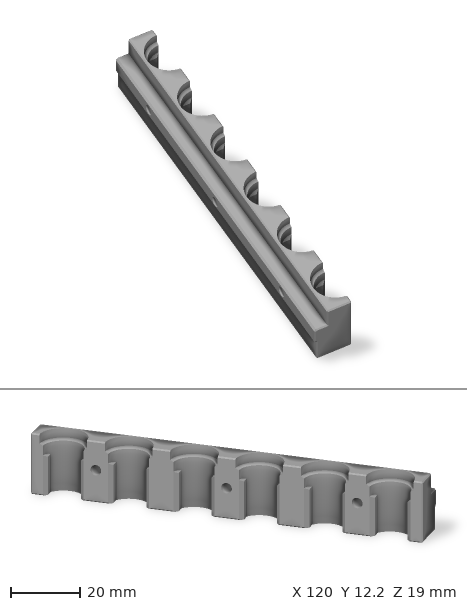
import cadquery as cq
import math

length = 120.0
height = 19.0
top_depth = 8.0
base_depth = 11.5
band_depth = 12.2
band_top = 12.8
band_bottom = 7.1
band_projection = band_depth - base_depth
band_chamfer = 0.6
edge_chamfer = 0.4

cradle_count = 6
cradle_pitch = length / cradle_count
seat_radius = 14.5 / 2
seat_depth = 2.9
bore_radius = 12.5 / 2
gap_half_width = 10.1 / 2
lip_setback = 3.0
seat_slope = math.radians(30)

hole_diameter = 3.2
hole_spacing = 2 * cradle_pitch
end_hole_z = 10.0
middle_hole_z = 9.5

slope_rate = math.tan(seat_slope)
seat_floor = height - seat_depth
bore_top = seat_floor - (seat_radius - bore_radius) * slope_rate
lip_reach = bore_radius - gap_half_width
lip_top = bore_top - lip_setback
lip_tip_z = lip_top - lip_reach * slope_rate


def make_body():
    """Stepped bar with chamfered outer edges and a sloped underside on the band."""
    outline = [
        (0, 0),
        (-base_depth, 0),
        (-base_depth, band_bottom),
        (-band_depth, band_bottom + band_projection),
        (-band_depth, band_top - band_chamfer),
        (-band_depth + band_chamfer, band_top),
        (-top_depth, band_top),
        (-top_depth, height),
        (0, height),
    ]
    bar = cq.Workplane("YZ").polyline(outline).close().extrude(length / 2, both=True)
    plain_corners = outline[2:-2]
    tolerance = 0.01

    def is_chamfered(edge):
        center = edge.Center()
        return all(math.dist((center.y, center.z), corner) > tolerance for corner in plain_corners)

    long_edges = [edge for edge in bar.edges("|X").vals() if is_chamfered(edge)]
    end_edges = bar.faces("<X or >X").edges().vals()
    return bar.newObject(long_edges + end_edges).chamfer(edge_chamfer)


def make_seat():
    """Wide seat with a conical floor sloping in to the bore."""
    return (
        cq.Workplane("XZ")
        .moveTo(0, 0)
        .lineTo(bore_radius, 0)
        .lineTo(bore_radius, bore_top)
        .lineTo(seat_radius, seat_floor)
        .lineTo(seat_radius, height)
        .lineTo(0, height)
        .close()
        .revolve(360, (0, 0), (0, 1))
    )


def make_lip(side):
    """Lip that narrows the open side: sloped on top, cut back at the mouth corner."""
    tip_x = side * gap_half_width
    wall_x = side * bore_radius
    profile = [(tip_x, 0), (wall_x, 0), (wall_x, lip_top), (tip_x, lip_tip_z)]
    corner = [(tip_x, 0), (wall_x, 0), (tip_x, -lip_reach)]
    lip = cq.Workplane("XZ").polyline(profile).close().extrude(bore_radius)
    corner_cut = cq.Workplane("XY").polyline(corner).close().extrude(height)
    bore = cq.Workplane("XY").circle(bore_radius).extrude(height)
    return lip.intersect(bore).cut(corner_cut)


def make_cradle():
    """Cutting shape of one cradle, open towards +Y."""
    return make_seat().cut(make_lip(-1)).cut(make_lip(1))


def make_hole(x, z):
    """Cutting cylinder through the full thickness of the rail."""
    return (
        cq.Workplane("XZ")
        .center(x, z)
        .circle(hole_diameter / 2)
        .extrude(band_depth)
    )


result = make_body()

cradle = make_cradle()
for index in range(cradle_count):
    x = (index + 0.5) * cradle_pitch - length / 2
    result = result.cut(cradle.translate((x, 0, 0)))

for x, z in [(-hole_spacing, end_hole_z), (0, middle_hole_z), (hole_spacing, end_hole_z)]:
    result = result.cut(make_hole(x, z))